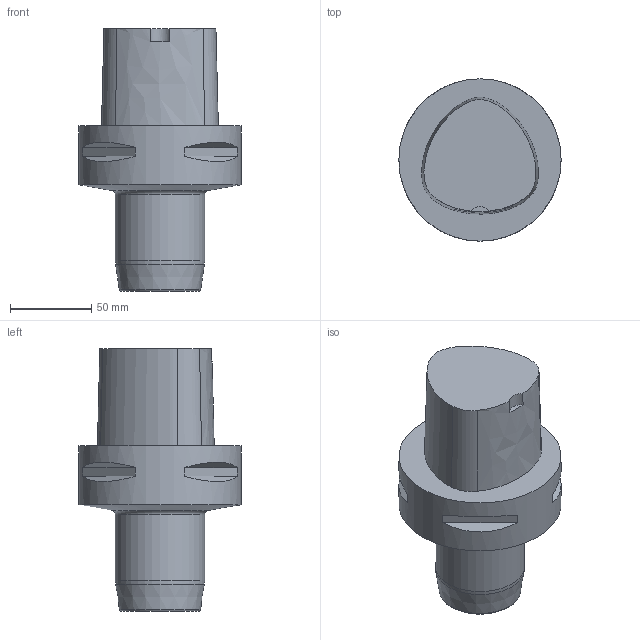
import cadquery as cq
import math


SHANK_LENGTH = 60.0
SHANK_BASE_WIDTH = 72.0
SHANK_TAPER = 1 / 20
LOBE_HEIGHT = 2.6
LOBE_HALF_SPAN = 24.5
LOBE_COUNT = 3
LOBE_PITCH = 360.0 / LOBE_COUNT
FIRST_LOBE_ANGLE = 90.0

NOTCH_RADIUS = 7.0
NOTCH_INNER_Y = -28.8
NOTCH_DEPTH = 8.3

FLANGE_RADIUS = 50.0
FLANGE_THICKNESS = 36.2
BACK_CONE_ANGLE = 10.0
BODY_RADIUS = 27.5
BODY_FILLET = 2.6
BODY_LENGTH = 102.0
NOSE_LENGTH = 18.0
NOSE_ANGLE = 8.0
NOSE_BLEND = 17.0
NOSE_EDGE_FILLET = 1.2

GROOVE_COUNT = 4
GROOVE_FIRST_ANGLE = 45.0
GROOVE_CENTER_Z = -16.0
GROOVE_FLOOR_WIDTH = 5.4
GROOVE_DEPTH = 5.6
GROOVE_SIDE_ANGLE = 30.0
GROOVE_OVERCUT = 2.0


def polygon_point(width, normal_angle):
    """Point of the constant-width polygon whose outward normal has the given angle."""
    a = math.radians(normal_angle)
    lobe_phase = math.radians(LOBE_COUNT * (normal_angle - FIRST_LOBE_ANGLE))
    radial = width / 2 + LOBE_HEIGHT * math.cos(lobe_phase)
    sideways = -LOBE_COUNT * LOBE_HEIGHT * math.sin(lobe_phase)
    return (
        radial * math.cos(a) - sideways * math.sin(a),
        radial * math.sin(a) + sideways * math.cos(a),
    )


def polygon_edge(width, z, start, end):
    """One smooth stretch of the polygon, between two normal angles."""
    steps = 8
    angles = [start + (end - start) * i / steps for i in range(steps + 1)]
    points = [cq.Vector(*polygon_point(width, angle), z) for angle in angles]
    tangents = [
        cq.Vector(-math.sin(math.radians(angle)), math.cos(math.radians(angle)), 0)
        for angle in (start, end)
    ]
    return cq.Edge.makeSpline(points, tangents=tangents)


def polygon_wire(width, z):
    """Closed polygon of alternating lobes and flanks."""
    edges = []
    for i in range(LOBE_COUNT):
        tip = FIRST_LOBE_ANGLE + i * LOBE_PITCH
        lobe_end = tip + LOBE_HALF_SPAN
        next_lobe_start = tip + LOBE_PITCH - LOBE_HALF_SPAN
        edges.append(polygon_edge(width, z, tip - LOBE_HALF_SPAN, lobe_end))
        edges.append(polygon_edge(width, z, lobe_end, next_lobe_start))
    return cq.Wire.assembleEdges(edges)


def make_shank():
    top_width = SHANK_BASE_WIDTH - SHANK_TAPER * SHANK_LENGTH
    base = polygon_wire(SHANK_BASE_WIDTH, 0)
    top = polygon_wire(top_width, SHANK_LENGTH)
    return cq.Workplane(obj=cq.Solid.makeLoft([base, top], True))


def make_notch():
    return (
        cq.Workplane("XY", origin=(0, 0, SHANK_LENGTH - NOTCH_DEPTH))
        .center(0, NOTCH_INNER_Y - NOTCH_RADIUS)
        .circle(NOTCH_RADIUS)
        .extrude(NOTCH_DEPTH)
    )


def make_body():
    """Flange, cylinder and tapered nose, turned about Z."""
    cone_a = math.radians(BACK_CONE_ANGLE)
    nose_a = math.radians(NOSE_ANGLE)

    corner_z = -FLANGE_THICKNESS - (FLANGE_RADIUS - BODY_RADIUS) * math.tan(cone_a)
    nose_start_z = NOSE_LENGTH - BODY_LENGTH
    nose_end_radius = BODY_RADIUS - NOSE_LENGTH * math.tan(nose_a)

    fillet_mid_a = math.pi / 4 - cone_a / 2
    fillet_run = BODY_FILLET * math.tan(fillet_mid_a)
    fillet_center = (BODY_RADIUS + BODY_FILLET, corner_z - fillet_run)
    fillet_start = (
        BODY_RADIUS + fillet_run * math.cos(cone_a),
        corner_z + fillet_run * math.sin(cone_a),
    )
    fillet_mid = (
        fillet_center[0] - BODY_FILLET * math.cos(fillet_mid_a),
        fillet_center[1] + BODY_FILLET * math.sin(fillet_mid_a),
    )
    fillet_end = (BODY_RADIUS, fillet_center[1])

    blend_run = NOSE_BLEND * math.tan(nose_a / 2)
    blend_start = (BODY_RADIUS, nose_start_z + blend_run)
    blend_end = (
        BODY_RADIUS - blend_run * math.sin(nose_a),
        nose_start_z - blend_run * math.cos(nose_a),
    )
    blend_mid = (
        BODY_RADIUS - NOSE_BLEND * (1 - math.cos(nose_a / 2)),
        blend_start[1] - NOSE_BLEND * math.sin(nose_a / 2),
    )

    profile = (
        cq.Workplane("XZ")
        .moveTo(0, 0)
        .lineTo(FLANGE_RADIUS, 0)
        .lineTo(FLANGE_RADIUS, -FLANGE_THICKNESS)
        .lineTo(*fillet_start)
        .threePointArc(fillet_mid, fillet_end)
        .lineTo(*blend_start)
        .threePointArc(blend_mid, blend_end)
        .lineTo(nose_end_radius, -BODY_LENGTH)
        .lineTo(0, -BODY_LENGTH)
        .close()
    )
    return profile.revolve(360, (0, 0), (0, 1)).faces("<Z").edges().fillet(NOSE_EDGE_FILLET)


def make_groove(angle):
    """Trapezoidal bar, wider outwards, lying across the flange rim at the given angle."""
    floor_radius = FLANGE_RADIUS - GROOVE_DEPTH
    outer_radius = FLANGE_RADIUS + GROOVE_OVERCUT
    side_rise = (outer_radius - floor_radius) * math.tan(math.radians(GROOVE_SIDE_ANGLE))
    floor_half = GROOVE_FLOOR_WIDTH / 2
    outer_half = floor_half + side_rise
    return (
        cq.Workplane("XZ", origin=(0, 0, GROOVE_CENTER_Z))
        .polyline([
            (floor_radius, -floor_half),
            (outer_radius, -outer_half),
            (outer_radius, outer_half),
            (floor_radius, floor_half),
        ])
        .close()
        .extrude(FLANGE_RADIUS, both=True)
        .rotate((0, 0, 0), (0, 0, 1), angle)
    )


body = make_body()
for index in range(GROOVE_COUNT):
    body = body.cut(make_groove(GROOVE_FIRST_ANGLE + index * 360.0 / GROOVE_COUNT))

result = body.union(make_shank()).cut(make_notch())